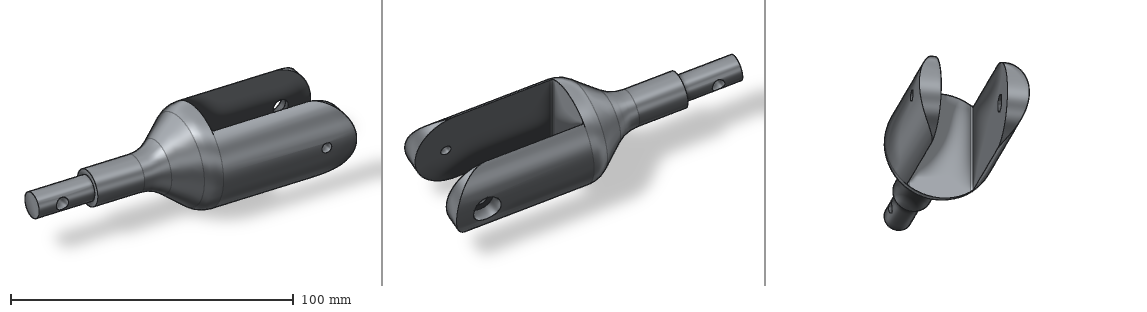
import cadquery as cq
import math

body_radius = 20.0
fork_length = 54.8
slot_width = 24.0
slot_corner_radius = 1.0
total_length = 121.8

shoulder_radius = 10.4
cone_angle = math.radians(39)
flare_radius = 14.6
neck_radius = 7.1
neck_end_y = -44.1
rod_radius = 5.0

pin_to_tip = 12.3
counterbore_diameter = 11.0
counterbore_depth = 6.0
near_pin_diameter = 6.2
far_pin_diameter = 4.0
cross_hole_diameter = 5.0
cross_hole_to_end = 9.6

overcut = 1.2

rod_end_y = fork_length - total_length
pin_y = fork_length - pin_to_tip


def arc_offsets(radius, angle):
    """Radial and axial travel of an arc that starts parallel to the axis."""
    return radius * (1 - math.cos(angle)), radius * math.sin(angle)


def make_turned_body():
    shoulder_dr, shoulder_dy = arc_offsets(shoulder_radius, cone_angle)
    shoulder_mid_dr, shoulder_mid_dy = arc_offsets(shoulder_radius, cone_angle / 2)
    flare_dr, flare_dy = arc_offsets(flare_radius, cone_angle)
    flare_mid_dr, flare_mid_dy = arc_offsets(flare_radius, cone_angle / 2)

    cone_top = (body_radius - shoulder_dr, -shoulder_dy)
    cone_bottom_radius = neck_radius + flare_dr
    cone_height = (cone_top[0] - cone_bottom_radius) / math.tan(cone_angle)
    cone_bottom = (cone_bottom_radius, cone_top[1] - cone_height)
    flare_end_y = cone_bottom[1] - flare_dy

    return (
        cq.Workplane("XY")
        .moveTo(0, fork_length)
        .lineTo(body_radius, fork_length)
        .lineTo(body_radius, 0)
        .threePointArc((body_radius - shoulder_mid_dr, -shoulder_mid_dy), cone_top)
        .lineTo(*cone_bottom)
        .threePointArc(
            (neck_radius + flare_mid_dr, flare_end_y + flare_mid_dy),
            (neck_radius, flare_end_y),
        )
        .lineTo(neck_radius, neck_end_y)
        .lineTo(rod_radius, neck_end_y)
        .lineTo(rod_radius, rod_end_y)
        .lineTo(0, rod_end_y)
        .close()
        .revolve(360, (0, 0, 0), (0, 1, 0))
        .rotate((0, 0, 0), (0, 1, 0), -90)
    )


def make_slot():
    """Full-height slot between the prongs, with rounded floor corners."""
    return (
        cq.Workplane("XY")
        .box(slot_width, fork_length + overcut, 2 * (body_radius + overcut))
        .edges("<Y and |Z")
        .fillet(slot_corner_radius)
        .translate((0, (fork_length + overcut) / 2, 0))
    )


def make_tip_envelope():
    """Side outline along X that rounds the prong tips over their full height."""
    tip_radius = math.sqrt(body_radius**2 - (slot_width / 2) ** 2)
    tip_start_y = fork_length - tip_radius
    outer = body_radius + overcut
    back_y = rod_end_y - overcut
    return (
        cq.Workplane("YZ")
        .moveTo(back_y, -outer)
        .lineTo(tip_start_y, -outer)
        .lineTo(tip_start_y, -tip_radius)
        .threePointArc((fork_length, 0), (tip_start_y, tip_radius))
        .lineTo(tip_start_y, outer)
        .lineTo(back_y, outer)
        .close()
        .extrude(outer, both=True)
    )


def hole_along_x(diameter, y, start_x, end_x):
    return (
        cq.Workplane("YZ", origin=(start_x, y, 0))
        .circle(diameter / 2)
        .extrude(end_x - start_x)
    )


result = make_turned_body().cut(make_slot()).intersect(make_tip_envelope())

result = result.cut(
    hole_along_x(counterbore_diameter, pin_y, -body_radius - overcut, counterbore_depth - body_radius)
)
result = result.cut(hole_along_x(near_pin_diameter, pin_y, -body_radius - overcut, 0))
result = result.cut(hole_along_x(far_pin_diameter, pin_y, 0, body_radius + overcut))

cross_hole_y = rod_end_y + cross_hole_to_end
cross_hole_reach = rod_radius + overcut
result = result.cut(
    hole_along_x(cross_hole_diameter, cross_hole_y, -cross_hole_reach, cross_hole_reach)
)